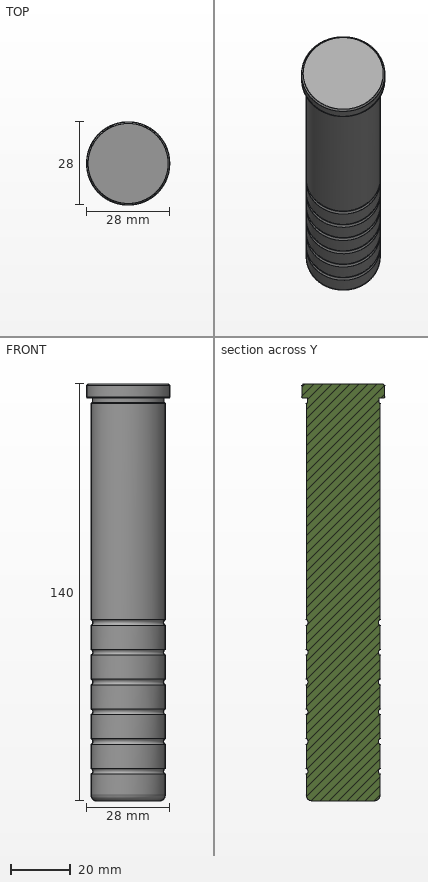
import cadquery as cq

total_length = 140.0
head_radius = 14.0
body_radius = 12.5

head_height = 4.8
head_top_chamfer = 0.5
head_lower_chamfer = 0.3
neck_radius = 12.0
neck_height = 1.4
shoulder_chamfer = body_radius - neck_radius
body_length = total_length - head_height - neck_height

end_fillet = 2.0

groove_count = 6
top_groove_height = 59.9
groove_pitch = top_groove_height / groove_count
groove_width = 2.0
groove_depth = 0.5


def make_cylinder(radius, bottom, height):
    """Solid cylinder about the Z axis."""
    return cq.Workplane("XY").workplane(offset=bottom).circle(radius).extrude(height)


def make_body():
    """Shank with a rounded lower end and a chamfered shoulder."""
    body = make_cylinder(body_radius, 0, body_length)
    body = body.faces("<Z").edges().fillet(end_fillet)
    return body.faces(">Z").edges().chamfer(shoulder_chamfer)


def make_head():
    """Flanged head with both rims chamfered."""
    head = make_cylinder(head_radius, total_length - head_height, head_height)
    head = head.faces(">Z").edges().chamfer(head_top_chamfer)
    return head.faces("<Z").edges().chamfer(head_lower_chamfer)


def make_groove(center_height):
    """Ring of material removed by one groove with an arc-shaped section."""
    half_width = groove_width / 2
    return (
        cq.Workplane("XZ")
        .moveTo(head_radius, center_height - half_width)
        .lineTo(body_radius, center_height - half_width)
        .threePointArc(
            (body_radius - groove_depth, center_height),
            (body_radius, center_height + half_width),
        )
        .lineTo(head_radius, center_height + half_width)
        .close()
        .revolve(360, (0, 0, 0), (0, 1, 0))
    )


neck = make_cylinder(neck_radius, body_length, neck_height)
result = make_body().union(neck).union(make_head())
for groove_number in range(1, groove_count + 1):
    result = result.cut(make_groove(groove_number * groove_pitch))